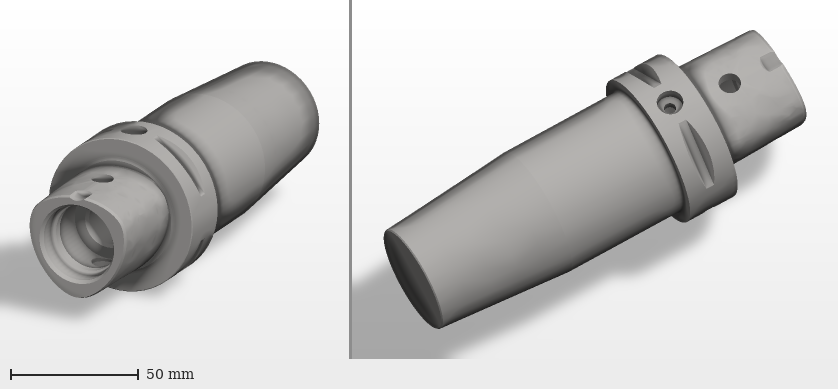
import cadquery as cq
import math


OVERALL_LENGTH = 168.0
SHANK_LENGTH = 38.0
FLANGE_WIDTH = 22.0
NOSE_CONE_LENGTH = 56.8
NOSE_END_Y = OVERALL_LENGTH - SHANK_LENGTH

FLANGE_RADIUS = 63.0 / 2
FLANGE_CHAMFER = 0.3
BODY_RADIUS = 26.5
NOSE_RADIUS = 22.0
NOSE_CHAMFER = 0.5
BODY_FILLET = 0.8
COLLAR_ROOT_RADIUS = 24.0
COLLAR_RADIUS = 22.5
COLLAR_HEIGHT = 0.5

POLYGON_RADIUS = 22.0
POLYGON_ECCENTRICITY = 1.5
POLYGON_POINTS = 48
TAPER_SLOPE = 1 / 40
SHANK_CHAMFER_LENGTH = 1.5
SHANK_CHAMFER_DEPTH = 0.5
NECK_LOBE_RADIUS = 22.3
NECK_SETBACK = 0.2
UNDERCUT_END = 2.2

MOUTH_RADIUS = 16.3
BORE_RADIUS = 15.3
MOUTH_CHAMFER_LENGTH = 1.7
BORE_DEPTH = 7.9
LIP_RADIUS = 13.8
LIP_END_DEPTH = 12.6
CHAMBER_RADIUS = 14.8
CHAMBER_DEPTH = 27.7
DRILL_ENTRY_RADIUS = 10.2
DRILL_RADIUS = 9.0
DRILL_DEPTH = 43.7
DRILL_POINT_ANGLE = 118.0

RIM_FEATURE_Y = 12.0

GROOVE_DEPTH = 3.7
GROOVE_FLOOR_WIDTH = 3.4
GROOVE_MOUTH_WIDTH = 7.9
GROOVE_ANGLES = (45, 135, 225, 315)

FLANGE_RECESS_RADIUS = 5.2
FLANGE_RECESS_DEPTH = 5.4
FLANGE_HOLE_RADIUS = 2.4
FLANGE_HOLE_DEPTH = 3.4
SHANK_HOLE_Y = -15.5
SHANK_HOLE_RADIUS = 4.4
SHANK_HOLE_FLOOR_Z = -15.8

NOTCH_RADIUS = 5.4
NOTCH_FLOOR_Z = 18.0
NOTCH_LENGTH = 6.4
NOTCH_POINT_ANGLE = 100.0


def point_height(radius, point_angle=DRILL_POINT_ANGLE):
    """Height of the conical point left by a drill of the given radius."""
    return radius / math.tan(math.radians(point_angle / 2))


def drilled_hole(radius, depth, point_angle=DRILL_POINT_ANGLE):
    """Drill shape running from the origin along -Z, with a conical point."""
    tip_z = -depth - point_height(radius, point_angle)
    return (
        cq.Workplane("XZ")
        .polyline([(0, 0), (radius, 0), (radius, -depth), (0, tip_z)])
        .close()
        .revolve(360, (0, 0, 0), (0, 1, 0))
    )


def body_of_revolution():
    """Flange with its raised collar, cylindrical body and tapered nose."""
    cone_start = NOSE_END_Y - NOSE_CONE_LENGTH
    return (
        cq.Workplane("XY")
        .moveTo(0, -COLLAR_HEIGHT)
        .lineTo(0, NOSE_END_Y)
        .lineTo(NOSE_RADIUS - NOSE_CHAMFER, NOSE_END_Y)
        .lineTo(NOSE_RADIUS, NOSE_END_Y - NOSE_CHAMFER)
        .lineTo(BODY_RADIUS, cone_start)
        .lineTo(BODY_RADIUS, FLANGE_WIDTH + BODY_FILLET)
        .radiusArc((BODY_RADIUS + BODY_FILLET, FLANGE_WIDTH), -BODY_FILLET)
        .lineTo(FLANGE_RADIUS, FLANGE_WIDTH)
        .lineTo(FLANGE_RADIUS, FLANGE_CHAMFER)
        .lineTo(FLANGE_RADIUS - FLANGE_CHAMFER, 0)
        .lineTo(COLLAR_ROOT_RADIUS, 0)
        .tangentArcPoint((COLLAR_RADIUS, -COLLAR_HEIGHT), relative=False)
        .close()
        .revolve(360, (0, 0, 0), (0, 1, 0))
    )


def polygon_wire(mean_radius, y):
    """Three-lobed curve of constant width at height y, with one lobe toward -Z."""
    points = []
    for i in range(POLYGON_POINTS):
        turn = 2 * math.pi * i / POLYGON_POINTS
        support = mean_radius + POLYGON_ECCENTRICITY * math.cos(3 * turn)
        slope = -3 * POLYGON_ECCENTRICITY * math.sin(3 * turn)
        out = support * math.cos(turn) - slope * math.sin(turn)
        across = support * math.sin(turn) + slope * math.cos(turn)
        points.append(cq.Vector(across, y, -out))
    return cq.Wire.assembleEdges([cq.Edge.makeSpline(points, periodic=True)])


def polygon_frustum(radius_a, y_a, radius_b, y_b):
    return cq.Solid.makeLoft([polygon_wire(radius_a, y_a), polygon_wire(radius_b, y_b)], True)


def shank():
    """Tapered polygon with a chamfered end, starting beyond the undercut neck."""
    chamfer_y = SHANK_CHAMFER_LENGTH - SHANK_LENGTH
    chamfer_radius = POLYGON_RADIUS + TAPER_SLOPE * chamfer_y
    root_radius = POLYGON_RADIUS - TAPER_SLOPE * UNDERCUT_END
    taper = polygon_frustum(root_radius, -UNDERCUT_END, chamfer_radius, chamfer_y)
    end = polygon_frustum(chamfer_radius, chamfer_y, chamfer_radius - SHANK_CHAMFER_DEPTH, -SHANK_LENGTH)
    return cq.Workplane(taper).union(cq.Workplane(end))


def undercut_neck():
    """Short neck inside the polygon outline, with its three lobes turned down round."""
    neck_radius = POLYGON_RADIUS - NECK_SETBACK
    neck = cq.Workplane(polygon_frustum(neck_radius, 0, neck_radius, -UNDERCUT_END))
    return neck.intersect(cq.Workplane("XZ").circle(NECK_LOBE_RADIUS).extrude(UNDERCUT_END))


def bore():
    """Stepped bore entering from the shank end and finishing in a drill point."""
    mouth_y = -SHANK_LENGTH
    bore_end_y = mouth_y + BORE_DEPTH
    lip_end_y = mouth_y + LIP_END_DEPTH
    chamber_end_y = mouth_y + CHAMBER_DEPTH
    drill_end_y = mouth_y + DRILL_DEPTH
    profile = [
        (0, mouth_y),
        (MOUTH_RADIUS, mouth_y),
        (BORE_RADIUS, mouth_y + MOUTH_CHAMFER_LENGTH),
        (BORE_RADIUS, bore_end_y),
        (LIP_RADIUS, bore_end_y + BORE_RADIUS - LIP_RADIUS),
        (LIP_RADIUS, lip_end_y),
        (CHAMBER_RADIUS, lip_end_y + CHAMBER_RADIUS - LIP_RADIUS),
        (CHAMBER_RADIUS, chamber_end_y),
        (DRILL_ENTRY_RADIUS, chamber_end_y),
        (DRILL_RADIUS, chamber_end_y + DRILL_ENTRY_RADIUS - DRILL_RADIUS),
        (DRILL_RADIUS, drill_end_y),
        (0, drill_end_y + point_height(DRILL_RADIUS)),
    ]
    return cq.Workplane("XY").polyline(profile).close().revolve(360, (0, 0, 0), (0, 1, 0))


def gripper_groove(angle):
    """Straight trapezoidal groove across the flange rim, facing the given angle."""
    floor_z = FLANGE_RADIUS - GROOVE_DEPTH
    half_floor = GROOVE_FLOOR_WIDTH / 2
    half_mouth = GROOVE_MOUTH_WIDTH / 2
    profile = [
        (RIM_FEATURE_Y - half_floor, floor_z),
        (RIM_FEATURE_Y + half_floor, floor_z),
        (RIM_FEATURE_Y + half_mouth, FLANGE_RADIUS),
        (RIM_FEATURE_Y - half_mouth, FLANGE_RADIUS),
    ]
    groove = cq.Workplane("YZ").polyline(profile).close().extrude(FLANGE_RADIUS, both=True)
    return groove.rotate((0, 0, 0), (0, 1, 0), angle)


def flange_hole():
    """Flat-bottomed recess with a smaller drilled hole in its floor."""
    floor_z = FLANGE_RADIUS - FLANGE_RECESS_DEPTH
    recess = (
        cq.Workplane("XY", origin=(0, RIM_FEATURE_Y, floor_z))
        .circle(FLANGE_RECESS_RADIUS)
        .extrude(FLANGE_RADIUS)
    )
    drilled = drilled_hole(FLANGE_HOLE_RADIUS, FLANGE_HOLE_DEPTH)
    return recess.union(drilled.translate((0, RIM_FEATURE_Y, floor_z)))


def shank_hole():
    """Hole drilled across the bore, its point ending in the opposite wall."""
    depth = POLYGON_RADIUS - SHANK_HOLE_FLOOR_Z
    return drilled_hole(SHANK_HOLE_RADIUS, depth).translate((0, SHANK_HOLE_Y, POLYGON_RADIUS))


def key_notch():
    """Drill running along the axis into the +Z edge of the shank end."""
    drill = drilled_hole(NOTCH_RADIUS, NOTCH_LENGTH, NOTCH_POINT_ANGLE)
    along_axis = drill.rotate((0, 0, 0), (1, 0, 0), 90)
    return along_axis.translate((0, -SHANK_LENGTH, NOTCH_FLOOR_Z + NOTCH_RADIUS))


result = body_of_revolution().union(undercut_neck()).union(shank())
result = result.cut(bore()).cut(flange_hole()).cut(shank_hole()).cut(key_notch())
for groove_angle in GROOVE_ANGLES:
    result = result.cut(gripper_groove(groove_angle))